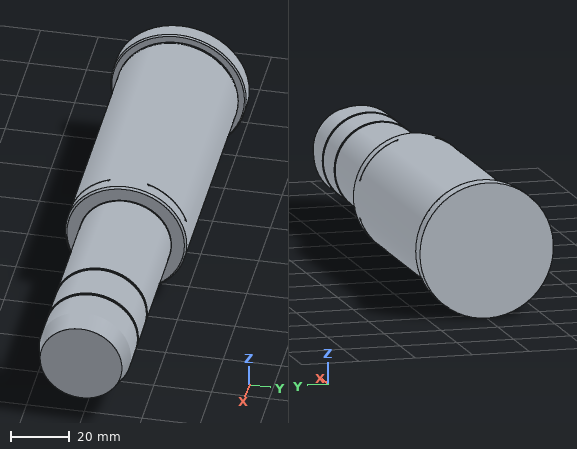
import cadquery as cq
import math

total_length = 171.0
flange_width = 6.0
sleeve_end = 95.0
nose_length = 7.0
nose_start = total_length - nose_length

flange_diameter = 47.0
sleeve_diameter = 42.0
shank_diameter = 32.0
nose_diameter = 28.4

flange_chamfer = 0.5
sleeve_chamfer = 0.7

sleeve_relief_width = 0.9
sleeve_relief_depth = 0.3
shank_relief_width = 0.5
shank_groove_width = 0.9
shank_groove_depth = 0.2
shank_groove_starts = (136.6, 151.8)

slit_count = 4
slit_first_angle = 45.0
slit_position = 90.0
slit_width = 0.2
slit_half_angle = 27.0


def cylinder(start, end, diameter):
    """Solid cylinder on the X axis between two axial positions."""
    return cq.Workplane("YZ").workplane(offset=start).circle(diameter / 2).extrude(end - start)


def ring_groove(start, width, diameter, depth):
    """Ring that cuts a rectangular groove into a cylinder of the given diameter."""
    ring = cq.Workplane("YZ").workplane(offset=start).circle(flange_diameter / 2)
    return ring.circle(diameter / 2 - depth).extrude(width)


def sleeve_slit(angle):
    """Thin slab that cuts a chord-shaped slit into the sleeve, turned about X by an angle in degrees."""
    floor_radius = sleeve_diameter / 2 * math.cos(math.radians(slit_half_angle))
    slab = cq.Workplane("XY").box(slit_width, sleeve_diameter, sleeve_diameter, centered=(True, True, False))
    return slab.translate((slit_position, 0, floor_radius)).rotate((0, 0, 0), (1, 0, 0), angle)


flange = cylinder(0, flange_width, flange_diameter).faces(">X").chamfer(flange_chamfer)

sleeve = cylinder(flange_width, sleeve_end, sleeve_diameter).faces(">X").chamfer(sleeve_chamfer)
for index in range(slit_count):
    sleeve = sleeve.cut(sleeve_slit(slit_first_angle + index * 360 / slit_count))

shank_profile = [
    (sleeve_end, 0),
    (sleeve_end, shank_diameter / 2),
    (nose_start, shank_diameter / 2),
    (total_length, nose_diameter / 2),
    (total_length, 0),
]
shank = cq.Workplane("XY").polyline(shank_profile).close().revolve(360, (0, 0, 0), (1, 0, 0))

result = flange.union(sleeve).union(shank)

result = result.cut(ring_groove(flange_width, sleeve_relief_width, sleeve_diameter, sleeve_relief_depth))
result = result.cut(ring_groove(sleeve_end, shank_relief_width, shank_diameter, shank_groove_depth))

for groove_start in shank_groove_starts:
    result = result.cut(ring_groove(groove_start, shank_groove_width, shank_diameter, shank_groove_depth))